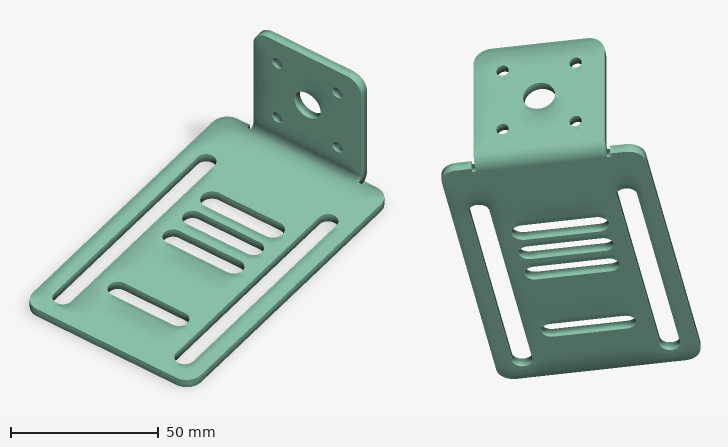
import cadquery as cq

PLATE_WIDTH = 70.0
LENGTH = 119.4
HEIGHT = 48.0

THICKNESS = 3.3
BEND_INNER_RADIUS = 1.7
BEND_OUTER_RADIUS = BEND_INNER_RADIUS + THICKNESS
BEND_START = LENGTH - BEND_OUTER_RADIUS
CORNER_RADIUS = 6.0

PLATE_LENGTH = LENGTH - THICKNESS
RELIEF_WIDTH = 1.3

FLANGE_WIDTH = 45.0
BORE_DIAMETER = 11.0
BORE_HEIGHT = HEIGHT - FLANGE_WIDTH / 2
SCREW_DIAMETER = 4.3
SCREW_SPACING = 25.1

SLOT_WIDTH = 7.0
LONG_SLOT_LENGTH = 89.9
LONG_SLOT_SPACING = 50.7
LONG_SLOT_CENTER = 51.3

CROSS_SLOT_STRAIGHT = 25.4
CROSS_SLOT_CENTERS = (24.1, 56.0, 67.3)
WIDE_SLOT_WIDTH = 8.0
WIDE_SLOT_CENTER = 78.6


def make_plate():
    """Flat plate with rounded corners, cut back to the bend line behind the flange and its reliefs."""
    plate = (
        cq.Workplane("XY")
        .rect(PLATE_WIDTH, PLATE_LENGTH)
        .extrude(THICKNESS)
        .edges("|Z")
        .fillet(CORNER_RADIUS)
        .translate((0, PLATE_LENGTH / 2, 0))
    )
    notch = cq.Workplane("XY").box(
        FLANGE_WIDTH + 2 * RELIEF_WIDTH,
        PLATE_LENGTH - BEND_START,
        THICKNESS,
        centered=(True, False, False),
    )
    return plate.cut(notch.translate((0, BEND_START, 0)))


def make_flange():
    """Bend and upright wall, drawn as a side profile and extruded across the flange width."""
    inner_face = LENGTH - THICKNESS
    profile = (
        cq.Workplane("YZ")
        .moveTo(BEND_START, 0)
        .radiusArc((LENGTH, BEND_OUTER_RADIUS), -BEND_OUTER_RADIUS)
        .lineTo(LENGTH, HEIGHT)
        .lineTo(inner_face, HEIGHT)
        .lineTo(inner_face, BEND_OUTER_RADIUS)
        .radiusArc((BEND_START, THICKNESS), BEND_INNER_RADIUS)
        .close()
    )
    flange = profile.extrude(FLANGE_WIDTH / 2, both=True)
    return flange.edges("|Y and >Z").fillet(CORNER_RADIUS)


def make_flange_holes():
    """Central bore and the square of four screw holes around it, cut along Y."""
    pattern = cq.Workplane("XZ", origin=(0, LENGTH, BORE_HEIGHT))
    bore = pattern.circle(BORE_DIAMETER / 2).extrude(THICKNESS)
    screws = (
        pattern.rect(SCREW_SPACING, SCREW_SPACING, forConstruction=True)
        .vertices()
        .circle(SCREW_DIAMETER / 2)
        .extrude(THICKNESS)
    )
    return bore.union(screws)


def make_slot(x, y, length, width, angle=0):
    """Round-ended through slot centred at (x, y); angle 0 runs along X, 90 along Y."""
    return cq.Workplane("XY").center(x, y).slot2D(length, width, angle).extrude(THICKNESS)


result = make_plate().union(make_flange()).cut(make_flange_holes())

for side in (-1, 1):
    slot_x = side * LONG_SLOT_SPACING / 2
    result = result.cut(make_slot(slot_x, LONG_SLOT_CENTER, LONG_SLOT_LENGTH, SLOT_WIDTH, 90))

for slot_y in CROSS_SLOT_CENTERS:
    result = result.cut(make_slot(0, slot_y, CROSS_SLOT_STRAIGHT + SLOT_WIDTH, SLOT_WIDTH))

wide_slot_length = CROSS_SLOT_STRAIGHT + WIDE_SLOT_WIDTH
result = result.cut(make_slot(0, WIDE_SLOT_CENTER, wide_slot_length, WIDE_SLOT_WIDTH))